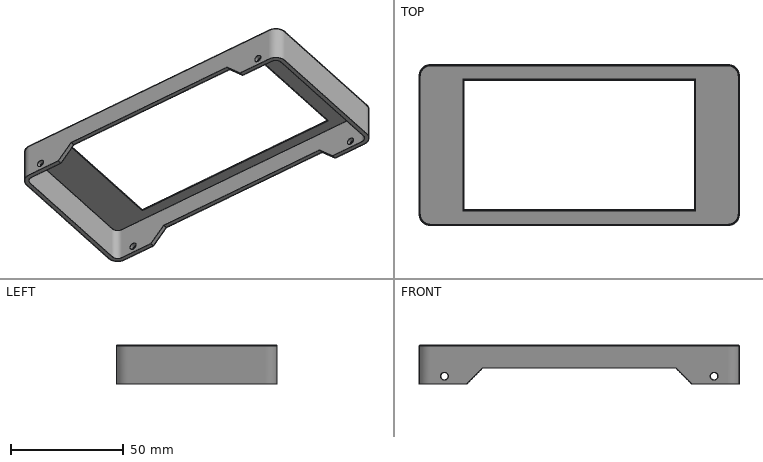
import cadquery as cq

length = 142.5
width = 71.5
height = 17.5
corner_radius = 5.0
edge_chamfer = 0.5

wall = 2.0
plate = 1.0

window_length = 102.5
window_width = 57.5
rim_chamfer = 0.5

relief_top_length = 86.0
relief_height = 7.1
relief_bottom_length = relief_top_length + 2 * relief_height

hole_diameter = 3.3
hole_spacing = 120.0
hole_height = 3.5


def make_shell():
    """Rounded box with a chamfered top edge, open at the bottom."""
    outer = (
        cq.Workplane("XY")
        .rect(length, width)
        .extrude(height)
        .edges("|Z")
        .fillet(corner_radius)
        .faces(">Z")
        .edges()
        .chamfer(edge_chamfer)
    )
    cavity = (
        cq.Workplane("XY")
        .rect(length - 2 * wall, width - 2 * wall)
        .extrude(height - plate)
        .edges("|Z")
        .fillet(corner_radius - wall)
    )
    return outer.cut(cavity)


def make_window():
    """Rectangular opening that widens at the top face."""
    opening = cq.Workplane("XY").rect(window_length, window_width).extrude(height)
    rim = (
        cq.Workplane("XY", origin=(0, 0, height - rim_chamfer))
        .rect(window_length, window_width)
        .workplane(offset=rim_chamfer)
        .rect(window_length + 2 * rim_chamfer, window_width + 2 * rim_chamfer)
        .loft(ruled=True)
    )
    return opening.union(rim)


def make_relief():
    """Trapezoid that leaves a foot at each end of both long sides."""
    return (
        cq.Workplane("XZ")
        .polyline([
            (-relief_bottom_length / 2, 0),
            (relief_bottom_length / 2, 0),
            (relief_top_length / 2, relief_height),
            (-relief_top_length / 2, relief_height),
        ])
        .close()
        .extrude(width / 2, both=True)
    )


def make_screw_holes():
    """One hole near each end, running through both long sides."""
    return (
        cq.Workplane("XZ", origin=(0, 0, hole_height))
        .pushPoints([(-hole_spacing / 2, 0), (hole_spacing / 2, 0)])
        .circle(hole_diameter / 2)
        .extrude(width / 2, both=True)
    )


result = make_shell().cut(make_window()).cut(make_relief()).cut(make_screw_holes())